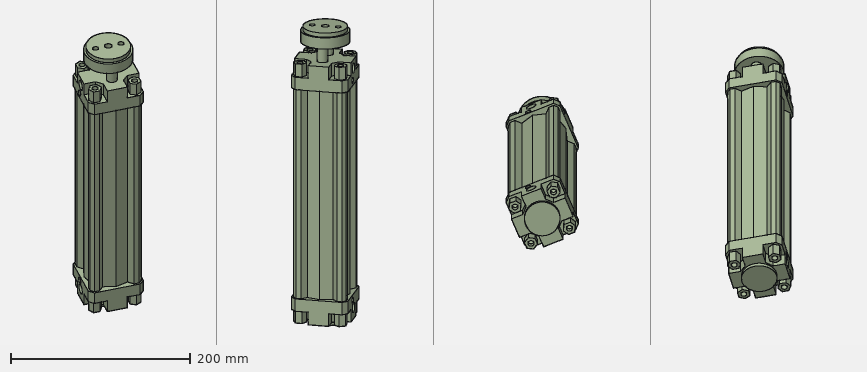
import cadquery as cq
import math

total_height = 347.0
boss_height = 4.0
block_height = 29.5
rod_exposed = 19.0
head_height = 18.0
rim_height = 5.0

lower_block_z = boss_height
tube_bottom_z = lower_block_z + block_height
head_z = total_height - head_height
upper_top_z = head_z - rod_exposed
tube_top_z = upper_top_z - block_height

block_width = 65.0
block_half = block_width / 2
block_chamfer = 5.5
boss_diameter = 40.0

pocket_depth = 15.0
pocket_wall = 11.8
pocket_diagonal = 7.0
nut_offset = 23.2
nut_across_flats = 13.0
nut_across_corners = nut_across_flats / math.cos(math.radians(30))
nut_hole_diameter = 6.5
nut_hole_depth = 8.5
drill_point_angle = 118.0

tube_half = 30.2
tube_chamfer = 3.8
groove_edge = 20.5
groove_depth = 6.0
ridge_depth = 1.7

port_diameter = 11.5
port_depth = 14.0
upper_port_drop = 10.0
lower_port_rise = 13.5
screw_diameter = 6.5
screw_depth = 2.0
screw_x = -3.8
screw_from_tube = 6.2

head_diameter = 55.0
rim_diameter = 50.0
rod_diameter = 12.0
rod_pitch = 26.0
centre_hole_diameter = 8.5
side_hole_diameter = 6.5
side_hole_offset = 15.0


def cylinder(diameter, height, x, y, z):
    return cq.Workplane("XY", origin=(x, y, z)).circle(diameter / 2).extrude(height)


def corner_pocket():
    """Square corner cutter for the +X +Y corner, with its inner corner cut diagonally."""
    diagonal_end = pocket_wall + pocket_diagonal
    return (
        cq.Workplane("XY")
        .moveTo(pocket_wall, diagonal_end)
        .lineTo(diagonal_end, pocket_wall)
        .lineTo(block_half, pocket_wall)
        .lineTo(block_half, block_half)
        .lineTo(pocket_wall, block_half)
        .close()
        .extrude(pocket_depth)
    )


def drilled_hole():
    """Blind hole with a conical drill point, pointing down from Z = pocket_depth."""
    radius = nut_hole_diameter / 2
    floor_z = pocket_depth - nut_hole_depth
    tip_z = floor_z - radius / math.tan(math.radians(drill_point_angle / 2))
    return (
        cq.Workplane("XZ")
        .moveTo(0, tip_z)
        .lineTo(radius, floor_z)
        .lineTo(radius, pocket_depth)
        .lineTo(0, pocket_depth)
        .close()
        .revolve(360, (0, 0, 0), (0, 1, 0))
    )


def corner_nut():
    """Hexagonal nut for the +X +Y corner, with two corners pointing along X."""
    hexagon = cq.Workplane("XY").polygon(6, nut_across_corners).extrude(pocket_depth)
    return hexagon.cut(drilled_hole()).translate((nut_offset, nut_offset, 0))


def end_block():
    """End block resting on Z = 0 with its pocketed face up."""
    block = (
        cq.Workplane("XY")
        .rect(block_width, block_width)
        .extrude(block_height)
        .edges("|Z")
        .chamfer(block_chamfer)
    )
    pocket_floor = (0, 0, block_height - pocket_depth)
    pocket = corner_pocket().translate(pocket_floor)
    nut = corner_nut().translate(pocket_floor)
    for quarter in range(4):
        angle = 90 * quarter
        block = block.cut(pocket.rotate((0, 0, 0), (0, 0, 1), angle))
        block = block.union(nut.rotate((0, 0, 0), (0, 0, 1), angle))
    return block


def tube():
    """Extruded tube: four chamfered corner lands with a ridged groove along each side."""
    land_end = tube_half - tube_chamfer
    valley = groove_edge - groove_depth
    side = [
        (tube_half, -land_end),
        (tube_half, -groove_edge),
        (tube_half - groove_depth, -valley),
        (tube_half - ridge_depth, 0),
        (tube_half - groove_depth, valley),
        (tube_half, groove_edge),
        (tube_half, land_end),
    ]
    outline = []
    for quarter in range(4):
        outline += side
        side = [(-y, x) for x, y in side]
    return (
        cq.Workplane("XY", origin=(0, 0, tube_bottom_z))
        .polyline(outline)
        .close()
        .extrude(tube_top_z - tube_bottom_z)
    )


def front_hole(diameter, depth, x, z):
    """Cutter for a flat-bottomed hole in the -Y face of a block."""
    return cq.Workplane("XZ", origin=(x, depth - block_half, z)).circle(diameter / 2).extrude(depth)


def make_housing():
    upper_block = end_block().translate((0, 0, tube_top_z))
    lower_block = end_block().mirror("XY").translate((0, 0, tube_bottom_z))
    boss = cylinder(boss_diameter, boss_height, 0, 0, 0)
    body = tube().union(upper_block).union(lower_block).union(boss)
    for port_z in (upper_top_z - upper_port_drop, lower_block_z + lower_port_rise):
        body = body.cut(front_hole(port_diameter, port_depth, 0, port_z))
    for screw_z in (tube_top_z + screw_from_tube, tube_bottom_z - screw_from_tube):
        body = body.cut(front_hole(screw_diameter, screw_depth, screw_x, screw_z))
    return body


def make_rod_head():
    """Round head with a reduced rim, carried on two rods that stand on the housing."""
    head = cylinder(head_diameter, head_height - rim_height, 0, 0, head_z)
    head = head.union(cylinder(rim_diameter, rim_height, 0, 0, total_height - rim_height))
    head = head.cut(cylinder(centre_hole_diameter, head_height, 0, 0, head_z))
    for side in (-1, 1):
        head = head.union(cylinder(rod_diameter, rod_exposed, side * rod_pitch / 2, 0, upper_top_z))
        head = head.cut(cylinder(side_hole_diameter, head_height, 0, side * side_hole_offset, head_z))
    return head


housing = make_housing()
rod_head = make_rod_head()

result = cq.Compound.makeCompound([housing.val(), rod_head.val()])